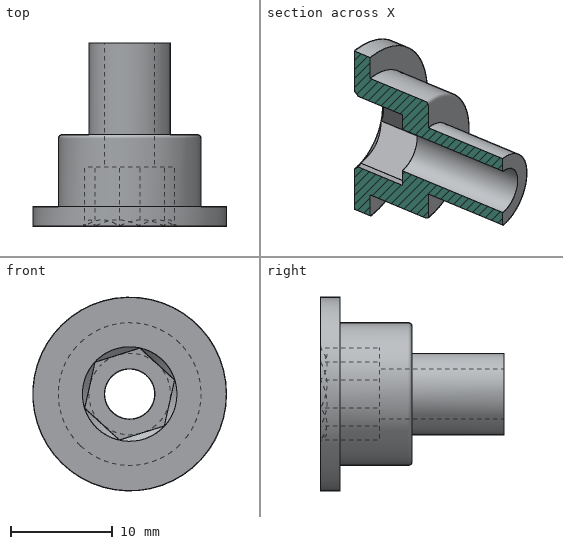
import cadquery as cq
import math

flange_diameter = 19.0
flange_thickness = 1.94
body_diameter = 14.0
body_length = 7.05
body_end_radius = 0.38
stem_diameter = 8.0
total_length = 18.0
bore_diameter = 4.9

hex_across_flats = 8.0
hex_corner_diameter = hex_across_flats / math.cos(math.radians(30))
hex_turn = 17.4
socket_depth = 5.8
mouth_diameter = 9.27
lead_in_angle = 45.0

body_end = flange_thickness + body_length


def disc(diameter, start, end):
    """Cylinder on the Y axis between two Y positions."""
    return cq.Workplane("XZ", origin=(0, start, 0)).circle(diameter / 2).extrude(start - end)


def make_body():
    body = disc(body_diameter, 0, body_end)
    return body.faces(">Y").edges().fillet(body_end_radius)


def make_hex_socket():
    corner_radius = hex_corner_diameter / 2
    corners = []
    for side in range(6):
        angle = math.radians(hex_turn + 60 * side)
        corners.append((corner_radius * math.cos(angle), corner_radius * math.sin(angle)))
    return cq.Workplane("XZ").polyline(corners).close().extrude(-socket_depth)


def make_lead_in():
    mouth_radius = mouth_diameter / 2
    cone_depth = mouth_radius * math.tan(math.radians(lead_in_angle))
    profile = [(0, 0), (mouth_radius, 0), (0, cone_depth)]
    return cq.Workplane("XY").polyline(profile).close().revolve(360, (0, 0, 0), (0, 1, 0))


result = (
    disc(flange_diameter, 0, flange_thickness)
    .union(make_body())
    .union(disc(stem_diameter, 0, total_length))
    .cut(make_hex_socket())
    .cut(make_lead_in())
    .cut(disc(bore_diameter, 0, total_length))
)